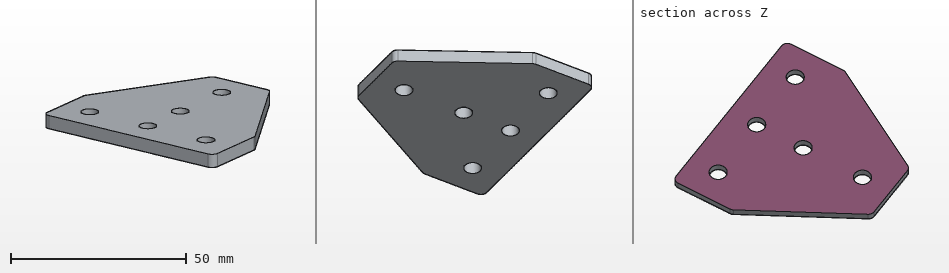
import cadquery as cq
import math

width = 60.0
thickness = 4.0
side_height = width / 3
top_width = width / 3
slant_angle = math.radians(60)
corner_radius = 2.0

slant_run = (width - top_width) / 2
height = side_height + slant_run * math.tan(slant_angle)

hole_diameter = 5.05
row_from_bottom = 9.4
row_spacing = 20.45
middle_hole_rise = 15.65
top_hole_spacing = 20.0

bottom = -height / 2
top = height / 2
shoulder = bottom + side_height
row_y = bottom + row_from_bottom
middle_y = row_y + middle_hole_rise


def make_plate():
    """Tapered plate with all vertical corners rounded."""
    outline = [
        (-width / 2, bottom),
        (width / 2, bottom),
        (width / 2, shoulder),
        (top_width / 2, top),
        (-top_width / 2, top),
        (-width / 2, shoulder),
    ]
    plate = cq.Workplane("XY").polyline(outline).close().extrude(thickness)
    return plate.edges("|Z").fillet(corner_radius)


def make_holes():
    """Through holes in a T: a bottom row of three and two up the centreline."""
    centres = [(side * row_spacing, row_y) for side in (-1, 0, 1)]
    centres += [(0, middle_y), (0, middle_y + top_hole_spacing)]
    return cq.Workplane("XY").pushPoints(centres).circle(hole_diameter / 2).extrude(thickness)


result = make_plate().cut(make_holes())